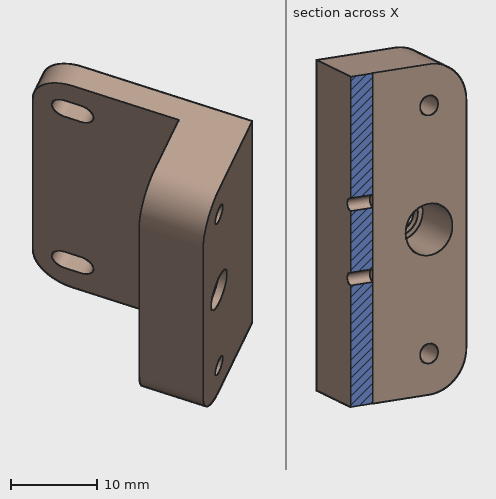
import cadquery as cq

length_x = 26.25
depth_y = 15.5
height_z = 40.0

plate_thickness = 3.0
block_width = 8.0
corner_radius = 5.0

slot_width = 3.2
slot_travel = 2.0
slot_from_edge = 5.0

hole_spacing = 30.0
hole_from_front = 5.0
screw_diameter = 2.4
bore_diameter = 5.0
seat_diameter = 6.25
seat_lip = 1.0

pin_diameter = 1.5
pin_spacing = 9.0

plate_front = depth_y - plate_thickness
block_left = length_x - block_width
paired_heights = (-hole_spacing / 2, hole_spacing / 2)


def make_plate():
    """Back plate with its two free corners rounded."""
    plate = cq.Workplane("XY").box(length_x, plate_thickness, height_z, centered=(False, False, True))
    plate = plate.translate((0, plate_front, 0))
    return plate.edges("|Y and <X").fillet(corner_radius)


def make_block():
    """Thick flange that reaches forward, with its two front corners rounded."""
    block = cq.Workplane("XY").box(block_width, depth_y, height_z, centered=(False, False, True))
    block = block.translate((block_left, 0, 0))
    return block.edges("|X and <Y").fillet(corner_radius)


def hole_along_x(diameter, z, depth):
    """Cylinder entering the block from its inner face."""
    start = cq.Vector(block_left, hole_from_front, z)
    return cq.Workplane(cq.Solid.makeCylinder(diameter / 2, depth, start, cq.Vector(1, 0, 0)))


def hole_through_plate(diameter, x, z):
    """Cylinder as deep as the plate, entering from its front face."""
    start = cq.Vector(x, plate_front, z)
    return cq.Workplane(cq.Solid.makeCylinder(diameter / 2, plate_thickness, start, cq.Vector(0, 1, 0)))


def slot_through_plate(z):
    """Round-ended slot, long side along X."""
    slot = cq.Workplane("XZ").slot2D(slot_travel + slot_width, slot_width).extrude(-plate_thickness)
    return slot.translate((slot_from_edge, plate_front, z))


result = make_plate().union(make_block())

for z in paired_heights:
    result = result.cut(slot_through_plate(z))
    result = result.cut(hole_along_x(screw_diameter, z, block_width))

result = result.cut(hole_along_x(bore_diameter, 0, block_width))
result = result.cut(hole_along_x(seat_diameter, 0, block_width - seat_lip))

for z in (-pin_spacing / 2, pin_spacing / 2):
    result = result.cut(hole_through_plate(pin_diameter, block_left, z))